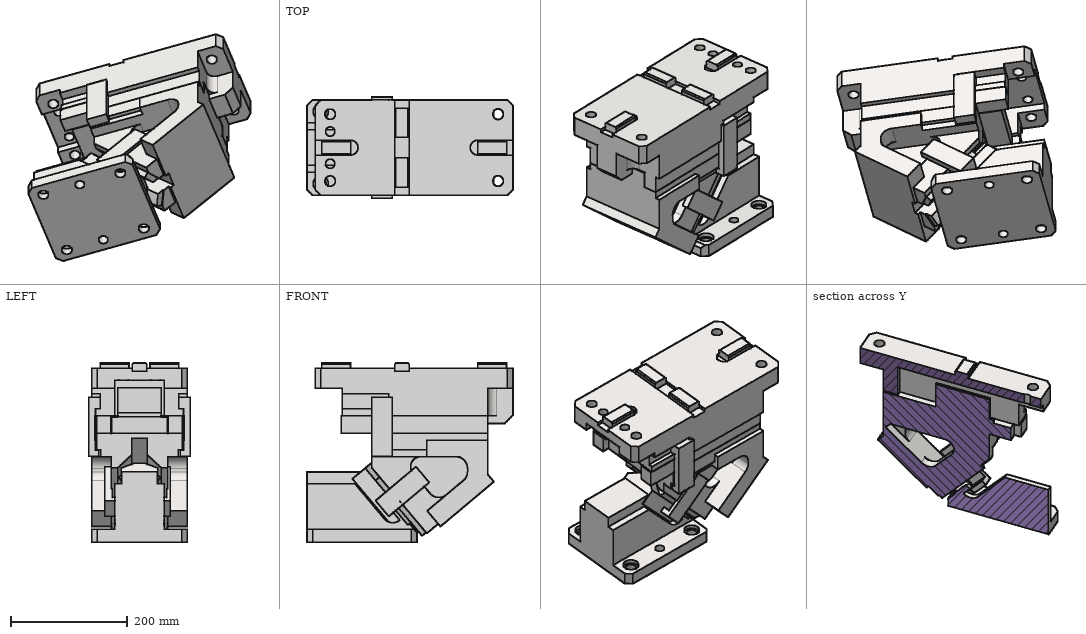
import cadquery as cq
import math


length = 355.0
plate_half = 82.5
corner = 10.0
bolt_d = 17.8
dowel_d = 16.0

slope = math.radians(50)
travel = (math.cos(slope), 0, -math.sin(slope))

flank_angle = math.radians(31)
flank_rise = math.tan(flank_angle)
ridge_flat_half = 10.5
ridge_u = 171.5
ridge_start_s = -33.5
ridge_end_s = 88.8
wear_thick = 10.5
wear_start_s = -5.7
wear_end_s = 119.0
cut_margin = 3.5

base_length = 190.0
base_thick = 22.7
base_relief_u = 156.2
base_relief_end_s = 113.5
pedestal_half = 42.5
pedestal_top = 101.0
crest_half = 30.5
crest_top = 121.5
guide_half = 31.5
pocket_u = 128.0
guide_u = 130.3
ledge_u = 147.0
ledge_start_s = 54.5
base_bolt_x = (23.8, 164.0)
base_dowel_x = 90.0
base_hole_y = 62.0
counterbore_d = 26.3
counterbore_depth = 7.0

slide_x0 = 111.5
slide_x1 = 311.7
slide_half = 48.5
neck_half = 67.0
neck_z = 147.5
flange_half = 74.0
flange_z = 159.8
flange_top = 187.5
tenon_half = 48.3
tenon_x0 = 71.5
tenon_top = 216.0
slide_end_s = 121.0
slide_end_u = 313.8
slot_half = 13.0
slot_u = 200.5
groove_start_s = -71.0
wing_x0 = 206.3
wing_top = 175.5
wing_u0 = 193.5
wing_inner_s = 91.5
wing_end_s = 127.0
wing_radius = 20.0
opening_x1 = 276.5
relief_u = 216.5
relief_upper_radius = 17.0
relief_lower_radius = 20.0
relief_length = 106.5
relief_depth = 17.0
hook_s = (21.0, 56.5)
hook_u = (136.5, 227.5)
hook_foot_top_u = 146.3
hook_outer_y = (-53.2, 60.0)
hook_inner = 46.5
hook_foot_inner = 33.7
stop_half = 37.3
stop_x = (111.5, 213.0)
stop_top = 266.2
stop_foot_x0 = 104.5
stop_foot_top = 223.0

holder_x0 = 14.2
holder_top = 300.0
holder_plate_z = 265.0
body_x0 = 60.7
body_z = 217.5
rail_x0 = 59.0
rail_half = 74.2
rail_inner = 49.5
lip_x1 = 141.3
lip_half = 75.0
lip_top = 229.7
notch_top = 255.5
notch_half = 67.5
channel_half = 42.5
channel_top = 279.5
channel_x1 = 284.0
tail_half = 21.3
tail_z = 204.5
tail_chamfer = 14.5
tail_fillet = 14.5
clamp_x = (111.5, 147.0)
clamp_z = (148.0, 250.0)
clamp_span = 175.0
clamp_inner = 76.5
clamp_foot_half = 70.3
clamp_foot_top = 158.5
holder_bolt_inset = 26.0
holder_bolt_y = 57.5
holder_dowel_y = 27.7

key_half = 12.8
key_length = 50.0
key_top = 309.0
key_chamfer = 2.5
keyway_z = 294.3
end_key_inset = 11.0
cross_key_x = 163.5
cross_key_y0 = 17.8


def at(s, u):
    """X and Z of a point of the travel frame."""
    return (
        s * math.cos(slope) + u * math.sin(slope),
        -s * math.sin(slope) + u * math.cos(slope),
    )


def on_slope_at_z(u, z):
    """Point at height z on the line of constant u."""
    return at((u * math.cos(slope) - z) / math.sin(slope), u)


def on_slope_at_x(u, x):
    """Point at a given x on the line of constant u."""
    return at((x - u * math.sin(slope)) / math.cos(slope), u)


def slab(sketch, half):
    """XZ outline made solid over both sides of Y = 0."""
    return sketch.extrude(half, both=True)


def outline(points):
    return cq.Workplane("XZ").polyline(points).close()


def block(x0, x1, half, z0, z1):
    return cq.Workplane("XY").box(x1 - x0, 2 * half, z1 - z0, centered=False).translate((x0, -half, z0))


def both_sides(shape):
    return shape.union(shape.mirror("XZ"))


def along_travel(points, s0, s1):
    """Closed (y, u) section swept down the slope from s0 to s1."""
    x, z = at(s0, 0)
    plane = cq.Plane(origin=(x, 0, z), xDir=(0, 1, 0), normal=travel)
    return cq.Workplane(plane).polyline(points).close().extrude(s1 - s0)


def tilted_rect(s0, s1, u0, u1):
    return outline([at(s0, u0), at(s1, u0), at(s1, u1), at(s0, u1)])


def ridge_flank_u(y):
    return ridge_u - (y - ridge_flat_half) * flank_rise


wear_foot = (guide_half, ridge_flank_u(guide_half))
wear_head = (
    wear_foot[0] + wear_thick * math.sin(flank_angle),
    wear_foot[1] + wear_thick * math.cos(flank_angle),
)
slide_u = wear_head[1]


def groove_flank_u(y):
    return slide_u + (wear_head[0] - y) * flank_rise


def hook_pocket():
    """Pocket outline: open to the ridge at the top, running under the ledge to a quarter-round end."""
    radius = ledge_u - pocket_u
    diagonal = radius * math.sqrt(0.5)
    above_ridge = ridge_u + cut_margin
    return (
        cq.Workplane("XZ")
        .moveTo(*at(ridge_start_s, pocket_u))
        .lineTo(*at(ledge_start_s, pocket_u))
        .threePointArc(
            at(ledge_start_s + diagonal, ledge_u - diagonal), at(ledge_start_s + radius, ledge_u)
        )
        .lineTo(*at(ledge_start_s, ledge_u))
        .lineTo(*at(ledge_start_s, above_ridge))
        .lineTo(*at(ridge_start_s, above_ridge))
        .close()
    )


def make_pedestal():
    ridge_foot = [at(ridge_end_s, base_relief_u), at(ridge_end_s, ridge_u)]
    lower_right = [(base_length, 0), on_slope_at_x(base_relief_u, base_length)]
    wide = outline(
        [(0, 0), *lower_right, *ridge_foot, on_slope_at_z(ridge_u, pedestal_top), (0, pedestal_top)]
    )
    crest_slope_x = (ridge_start_s + crest_top * math.sin(slope)) / math.cos(slope)
    crest = outline(
        [
            (0, 0), *lower_right, *ridge_foot, at(ridge_start_s, ridge_u),
            (crest_slope_x, crest_top), (0, crest_top),
        ]
    )
    pad_limit = tilted_rect(ridge_start_s, ridge_end_s, guide_u, ridge_u)
    pad = slab(hook_pocket(), guide_half).intersect(slab(pad_limit, guide_half))
    pedestal = slab(wide, pedestal_half).cut(slab(hook_pocket(), pedestal_half))
    return pedestal.union(slab(crest, crest_half)).union(pad)


def ridge_flank_cut():
    edge = pedestal_half + cut_margin
    above = ridge_u + cut_margin
    section = [
        (ridge_flat_half, ridge_u), (edge, ridge_flank_u(edge)), (edge, above), (ridge_flat_half, above),
    ]
    return both_sides(along_travel(section, ridge_start_s - cut_margin, ridge_end_s))


def make_base():
    plate = block(0, base_length, plate_half, 0, base_thick).edges("|Z").chamfer(corner)
    plate = plate.cut(slab(tilted_rect(ridge_end_s, base_relief_end_s, base_relief_u, ridge_u), plate_half))
    bolts = [(x, y) for x in base_bolt_x for y in (-base_hole_y, base_hole_y)]
    dowels = [(base_dowel_x, y) for y in (-base_hole_y, base_hole_y)]
    bolt_cut = cq.Workplane("XY").pushPoints(bolts).circle(bolt_d / 2).extrude(base_thick)
    dowel_cut = cq.Workplane("XY").pushPoints(dowels).circle(dowel_d / 2).extrude(base_thick)
    bore_cut = (
        cq.Workplane("XY", origin=(0, 0, base_thick - counterbore_depth))
        .pushPoints(bolts).circle(counterbore_d / 2).extrude(counterbore_depth)
    )
    plate = plate.cut(bolt_cut).cut(dowel_cut).cut(bore_cut)
    return plate.union(make_pedestal().cut(ridge_flank_cut()))


def wing_outline():
    """Side wing: a foot along the slope and an arm over a round-cornered opening."""
    centre_x = opening_x1 - wing_radius
    upper_z = neck_z - wing_radius
    lower_z = (centre_x * math.cos(slope) - wing_inner_s + wing_radius) / math.sin(slope)
    lower_mid = -slope / 2
    diagonal = wing_radius * math.sqrt(0.5)
    return (
        cq.Workplane("XZ")
        .moveTo(*at(wing_end_s, wing_u0))
        .lineTo(*at(wing_inner_s, wing_u0))
        .lineTo(centre_x + wing_radius * math.cos(slope), lower_z - wing_radius * math.sin(slope))
        .threePointArc(
            (centre_x + wing_radius * math.cos(lower_mid), lower_z + wing_radius * math.sin(lower_mid)),
            (opening_x1, lower_z),
        )
        .lineTo(opening_x1, upper_z)
        .threePointArc((centre_x + diagonal, upper_z + diagonal), (centre_x, neck_z))
        .lineTo(wing_x0, neck_z)
        .lineTo(wing_x0, wing_top)
        .lineTo(slide_x1, wing_top)
        .lineTo(*on_slope_at_x(slide_end_u, slide_x1))
        .lineTo(*at(wing_end_s, slide_end_u))
        .close()
    )


def relief_pocket():
    """Round-cornered recess in each side of the body, in line with the opening of the wing."""
    far_u = relief_u + relief_length
    corners = [
        at(wing_inner_s, relief_u), at(wing_inner_s, far_u),
        on_slope_at_z(far_u, neck_z), on_slope_at_z(relief_u, neck_z),
    ]
    pocket = slab(outline(corners), slide_half)
    pocket = pocket.edges("|Y and <X").fillet(relief_upper_radius)
    pocket = pocket.edges("|Y and <Z").fillet(relief_lower_radius)
    return pocket.cut(block(0, length, slide_half - relief_depth, 0, length))


def wear_plates():
    section = [
        (slot_half, ridge_flank_u(slot_half)), wear_foot, wear_head, (slot_half, groove_flank_u(slot_half)),
    ]
    return both_sides(along_travel(section, wear_start_s, wear_end_s))


def v_groove():
    section = [
        (-wear_head[0], slide_u), (-slot_half, groove_flank_u(slot_half)), (-slot_half, slot_u),
        (slot_half, slot_u), (slot_half, groove_flank_u(slot_half)), (wear_head[0], slide_u),
    ]
    return along_travel(section, groove_start_s, wing_end_s)


def return_hooks():
    """Bars on the sides of the slide, with feet turned in under the driver ledges."""
    bars = tilted_rect(*hook_s, *hook_u).extrude(hook_outer_y[1] - hook_outer_y[0])
    bars = bars.translate((0, hook_outer_y[1], 0))
    bars = bars.cut(block(0, length, hook_foot_inner, 0, length))
    bars = bars.cut(slab(tilted_rect(*hook_s, hook_foot_top_u, slide_u), hook_inner))
    return bars


def make_slide():
    body = slab(
        outline(
            [
                (slide_x0, flange_top), on_slope_at_x(slide_u, slide_x0), at(slide_end_s, slide_u),
                at(slide_end_s, slide_end_u), on_slope_at_x(slide_end_u, slide_x1), (slide_x1, flange_top),
            ]
        ),
        slide_half,
    )
    body = body.union(slab(wing_outline(), plate_half))
    body = body.cut(relief_pocket())
    body = body.union(block(slide_x0, slide_x1, neck_half, neck_z, flange_z))
    body = body.union(block(slide_x0, slide_x1, flange_half, flange_z, flange_top))
    hooks = return_hooks().cut(slab(tilted_rect(*hook_s, slide_u, hook_u[1]), slide_half))
    body = body.union(hooks).cut(v_groove()).union(wear_plates())
    body = body.union(block(tenon_x0, slide_x1, tenon_half, flange_top, tenon_top))
    body = body.union(block(*stop_x, stop_half, tenon_top, stop_top))
    return body.union(block(stop_foot_x0, stop_x[0], stop_half, tenon_top, stop_foot_top))


def holder_body():
    plate = block(holder_x0, length, plate_half, holder_plate_z, holder_top).edges("|Z").chamfer(corner)
    body = block(body_x0, slide_x1, plate_half, body_z, holder_plate_z)
    lip_gap = block(body_x0, lip_x1, plate_half, body_z, lip_top)
    lip_gap = lip_gap.cut(block(body_x0, lip_x1, lip_half, body_z, lip_top))
    notch = block(body_x0, lip_x1, plate_half, lip_top, notch_top)
    notch = notch.cut(block(body_x0, lip_x1, notch_half, lip_top, notch_top))
    return plate.union(body.cut(lip_gap).cut(notch))


def rails():
    rail = block(rail_x0, slide_x1, rail_half, flange_top, body_z)
    return rail.cut(block(rail_x0, slide_x1, rail_inner, flange_top, body_z))


def tail():
    """Narrow block behind the body, blended into the body's end face by upright fillets."""
    beam = block(slide_x1, length, tail_half, tail_z, holder_plate_z).edges(">X and <Z").chamfer(tail_chamfer)
    web = (
        cq.Workplane("XY", origin=(slide_x1, tail_half, body_z))
        .lineTo(0, tail_fillet)
        .radiusArc((tail_fillet, 0), -tail_fillet)
        .close()
        .extrude(holder_plate_z - body_z)
    )
    return beam.union(both_sides(web))


def clamps():
    bar = block(*clamp_x, clamp_span / 2, *clamp_z)
    bar = bar.cut(block(*clamp_x, notch_half, *clamp_z))
    bar = bar.cut(block(*clamp_x, clamp_inner, clamp_foot_top, lip_top))
    return bar.cut(block(*clamp_x, clamp_foot_half, clamp_z[0], clamp_foot_top))


def end_key(mirrored):
    """Keyway cut and key for one end of the holder plate; the far end mirrors the near one."""
    key_x0 = holder_x0 + end_key_inset
    key_x1 = key_x0 + key_length
    way = block(holder_x0, key_x1, key_half, keyway_z, holder_top)
    way_floor = cq.Workplane("XY", origin=(key_x1, 0, keyway_z))
    way = way.union(way_floor.circle(key_half).extrude(holder_top - keyway_z))
    key = block(key_x0, key_x1, key_half, keyway_z, key_top).edges("|X and >Z").chamfer(key_chamfer)
    if mirrored:
        middle = ((holder_x0 + length) / 2, 0, 0)
        return way.mirror("YZ", middle), key.mirror("YZ", middle)
    return way, key


def cross_keys():
    """Keyway across the holder plate with one key on each side."""
    x0 = cross_key_x - key_half
    x1 = cross_key_x + key_half
    way = block(x0, x1, plate_half, keyway_z, holder_top)
    keys = block(x0, x1, cross_key_y0 + key_length, keyway_z, key_top).edges("|Y and >Z").chamfer(key_chamfer)
    keys = keys.cut(block(x0, x1, cross_key_y0, keyway_z, key_top))
    return way, keys


def holder_holes():
    near = holder_x0 + holder_bolt_inset
    far = length - holder_bolt_inset
    bolts = [(x, y) for x in (near, far) for y in (-holder_bolt_y, holder_bolt_y)]
    dowels = [(near, y) for y in (-holder_dowel_y, holder_dowel_y)]
    base_plane = cq.Workplane("XY", origin=(0, 0, holder_plate_z))
    depth = holder_top - holder_plate_z
    bolt_cut = base_plane.pushPoints(bolts).circle(bolt_d / 2).extrude(depth)
    return bolt_cut.union(base_plane.pushPoints(dowels).circle(dowel_d / 2).extrude(depth))


def make_holder():
    body = holder_body().cut(block(holder_x0, channel_x1, channel_half, body_z, channel_top))
    body = body.union(tail()).union(rails()).union(clamps()).cut(holder_holes())
    for way, key in (end_key(False), end_key(True), cross_keys()):
        body = body.cut(way).union(key)
    return body


base = make_base()
slide = make_slide()
holder = make_holder()

result = cq.Compound.makeCompound([base.val(), slide.val(), holder.val()])